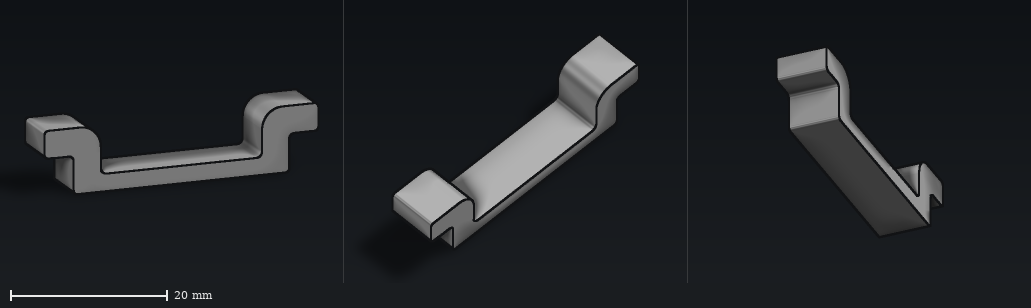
import cadquery as cq

width = 7.0
length = 37.5
height = 8.85

base_length = 29.5
opening_length = 22.05
base_thickness = 2.35
flange_thickness = 3.7

shoulder_radius = 2.78
floor_radius = 0.8
underside_radius = 0.7
corner_radius = 0.52

half_length = length / 2
half_base = base_length / 2
half_opening = opening_length / 2
flange_bottom = height - flange_thickness


def round_edges(body, corners, radius):
    """Fillet the X-direction edges at the given (y, z) corners, on both ends."""
    for y, z in corners:
        for side in (-1, 1):
            body = body.edges(cq.selectors.NearestToPointSelector((0, side * y, z))).fillet(radius)
    return body


half_outline = [
    (half_base, 0),
    (half_base, flange_bottom),
    (half_length, flange_bottom),
    (half_length, height),
    (half_opening, height),
    (half_opening, base_thickness),
]
mirrored_outline = [(-y, z) for y, z in reversed(half_outline)]
result = (
    cq.Workplane("YZ")
    .polyline(half_outline + mirrored_outline)
    .close()
    .extrude(width / 2, both=True)
)

outer_corners = [
    (half_base, 0),
    (half_length, flange_bottom),
    (half_length, height),
]
result = round_edges(result, outer_corners, corner_radius)
result = round_edges(result, [(half_base, flange_bottom)], underside_radius)
result = round_edges(result, [(half_opening, height)], shoulder_radius)
result = round_edges(result, [(half_opening, base_thickness)], floor_radius)